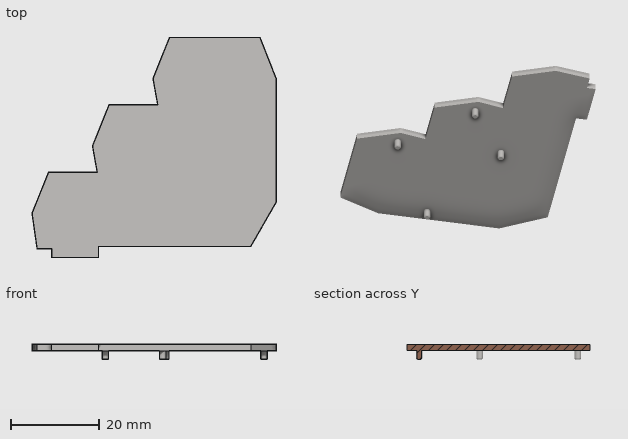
import cadquery as cq

width = 55.4
depth = 50.0
thickness = 1.5

lobe_count = 3
lobe_step_x = 13.73
lobe_step_y = 15.3
bevel_inset = 3.7
bevel_drop = 9.2
nose_height = 0.55
flank_inset = 1.0
first_flank_inset = 1.1
first_flank_foot_y = 2.0

tab_left = 4.4
tab_right = 15.1
lower_edge_y = 2.5

upper_bevel_x = 3.7
upper_bevel_y = 9.4
lower_bevel_x = 5.8
lower_bevel_y = 10.1

pin_diameter = 1.5
pin_length = 2.0
pin_chamfer = 0.2
lobe_pin_inset = 2.87
lobe_pin_drop = 9.2
lower_pin = (29.6, 17.1)
right_pin = (52.6, 29.8)


def lobe_left(index):
    """X of a lobe's nose; index 0 is the lowest lobe."""
    return index * lobe_step_x


def lobe_top(index):
    """Y of a lobe's top edge."""
    return depth - (lobe_count - 1 - index) * lobe_step_y


def lobe_points(index):
    """Foot, nose and top left corner of one lobe, going up."""
    left = lobe_left(index)
    top = lobe_top(index)
    if index == 0:
        foot = (left + first_flank_inset, first_flank_foot_y)
    else:
        foot = (left + flank_inset, lobe_top(index - 1))
    return [
        foot,
        (left, top - bevel_drop - nose_height),
        (left, top - bevel_drop),
        (left + bevel_inset, top),
    ]


def make_plate():
    outline = [
        (width - lower_bevel_x, lower_edge_y),
        (tab_right, lower_edge_y),
        (tab_right, 0),
        (tab_left, 0),
        (tab_left, first_flank_foot_y),
    ]
    for index in range(lobe_count):
        outline += lobe_points(index)
    outline += [
        (width - upper_bevel_x, depth),
        (width, depth - upper_bevel_y),
        (width, lower_edge_y + lower_bevel_y),
    ]
    return cq.Workplane("XY").polyline(outline).close().extrude(thickness)


def make_pins():
    centers = [lower_pin, right_pin]
    for index in range(1, lobe_count):
        centers.append((lobe_left(index) + lobe_pin_inset, lobe_top(index) - lobe_pin_drop))
    pins = cq.Workplane("XY").pushPoints(centers).circle(pin_diameter / 2).extrude(-pin_length)
    return pins.faces("<Z").chamfer(pin_chamfer)


result = make_plate().union(make_pins())